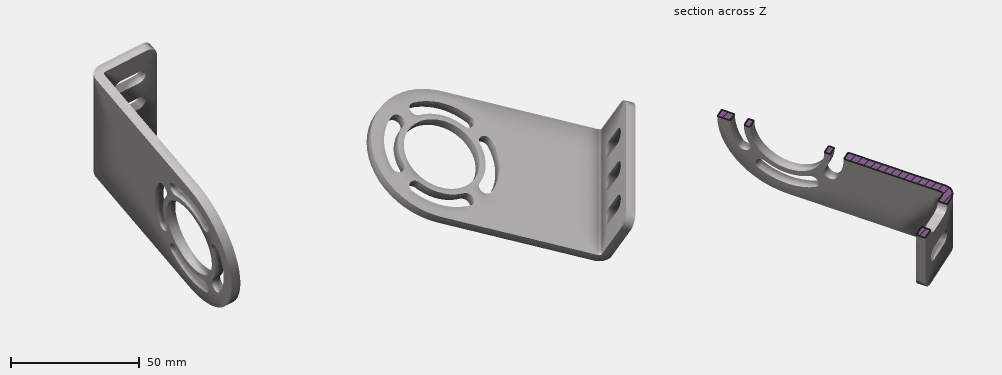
import cadquery as cq
import math

length = 101.2
depth = 29.1
height = 60.0
thickness = 4.0

bend_outer_radius = 5.2
bend_inner_radius = bend_outer_radius - thickness
flange_corner_radius = 5.0

end_radius = height / 2
end_center_x = length - end_radius
bore_diameter = 32.0
arc_slot_radius = 21.5
arc_slot_width = 5.8
arc_slot_half_angle = 30.0
arc_slot_count = 4

flange_slot_length = 15.0
flange_slot_width = 7.0
flange_slot_pitch = 15.9
flange_slot_inset = 12.5
flange_slot_count = 3


def bent_sheet():
    """L-shaped sheet: plate along X, flange along +Y, centred on Z = 0."""
    profile = [
        (0, 0),
        (length, 0),
        (length, thickness),
        (thickness, thickness),
        (thickness, depth),
        (0, depth),
    ]
    outer_bend = cq.selectors.NearestToPointSelector((0, 0, 0))
    inner_bend = cq.selectors.NearestToPointSelector((thickness, thickness, 0))
    return (
        cq.Workplane("XY")
        .polyline(profile)
        .close()
        .extrude(height / 2, both=True)
        .edges("|Z")
        .edges(inner_bend)
        .fillet(bend_inner_radius)
        .edges("|Z")
        .edges(outer_bend)
        .fillet(bend_outer_radius)
    )


def polar_point(radius, angle):
    """Point about the bore axis, with the angle in degrees from +X."""
    radians = math.radians(angle)
    return (radius * math.cos(radians), radius * math.sin(radians))


def plate_workplane():
    """Sketch plane on the inner plate face, extruding towards -Y."""
    return cq.Workplane("XZ", origin=(end_center_x, thickness, 0))


def arc_slot(middle_angle):
    inner = arc_slot_radius - arc_slot_width / 2
    outer = arc_slot_radius + arc_slot_width / 2
    start = middle_angle - arc_slot_half_angle
    end = middle_angle + arc_slot_half_angle
    cap_radius = arc_slot_width / 2
    return (
        plate_workplane()
        .moveTo(*polar_point(outer, start))
        .threePointArc(polar_point(outer, middle_angle), polar_point(outer, end))
        .radiusArc(polar_point(inner, end), -cap_radius)
        .threePointArc(polar_point(inner, middle_angle), polar_point(inner, start))
        .radiusArc(polar_point(outer, start), -cap_radius)
        .close()
        .extrude(thickness)
    )


def flange_slots():
    return (
        cq.Workplane("YZ", origin=(0, depth - flange_slot_inset, 0))
        .rarray(1, flange_slot_pitch, 1, flange_slot_count)
        .slot2D(flange_slot_length, flange_slot_width)
        .extrude(thickness)
    )


def plate_outline():
    """Full-depth block with the plate outline: a rectangle with one round end."""
    return (
        cq.Workplane("XZ", origin=(0, depth, 0))
        .moveTo(0, -height / 2)
        .lineTo(end_center_x, -height / 2)
        .threePointArc((length, 0), (end_center_x, height / 2))
        .lineTo(0, height / 2)
        .close()
        .extrude(depth)
    )


result = bent_sheet().intersect(plate_outline())
result = result.edges("|X and >Y").fillet(flange_corner_radius)
result = result.cut(plate_workplane().circle(bore_diameter / 2).extrude(thickness))
for index in range(arc_slot_count):
    result = result.cut(arc_slot(index * 360 / arc_slot_count))
result = result.cut(flange_slots())